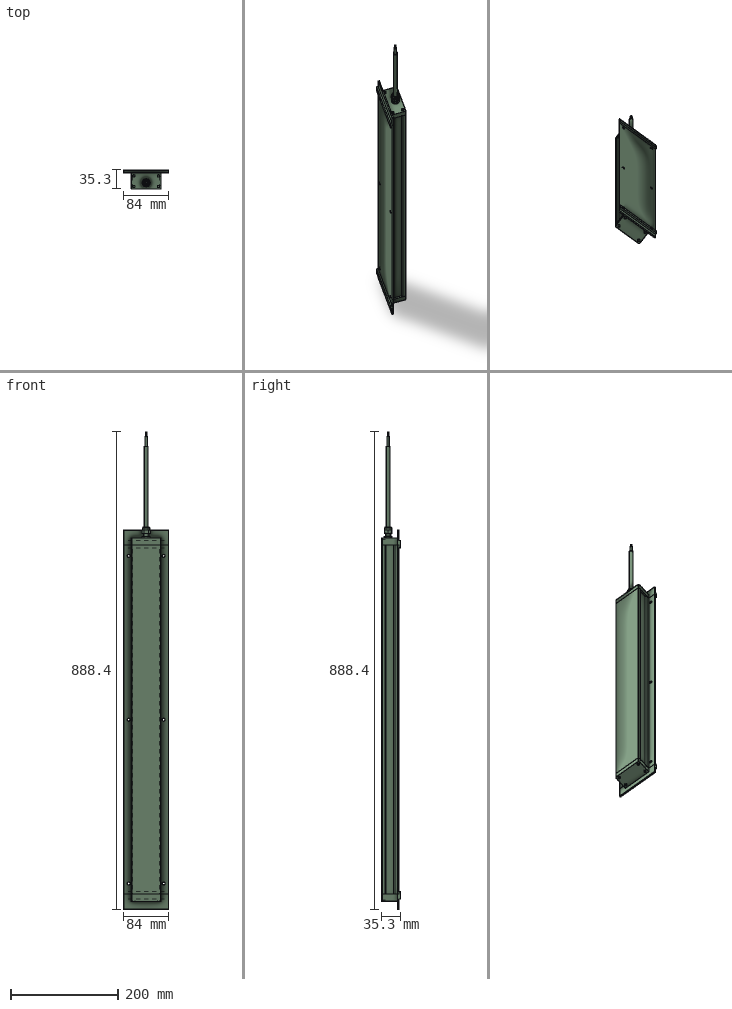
import cadquery as cq


plate_width = 84.01
total_depth = 35.27
total_height = 888.4
plate_height = 706.0

front_y = -12.0
back_y = front_y + total_depth
lip_thickness = 3.1
plate_thickness = 2.5
plate_back_y = back_y - lip_thickness
plate_front_y = plate_back_y - plate_thickness

joint_height = 28.0
housing_end_gap = 14.5
mid_z = plate_height / 2
housing_top_z = plate_height - housing_end_gap

housing_width = 56.0
housing_edge_chamfer = 1.3
groove_depth = 3.0
groove_mouth_front_y = -6.3
groove_mouth_back_y = 12.6
groove_flank = 2.3

hole_diameter = 5.0
hole_x = 32.5
hole_pitch = 305.0

lip_bottom = 19.0
lip_top = 33.0

screw_diameter = 4.5
screw_depth = 3.0
screw_inset = 5.0

flange_diameter = 15.0
flange_height = 2.5
neck_diameter = 10.0
nut_bottom_z = 700.0
nut_height = 6.0
nut_corner_diameter = 16.0
dome_diameter = 14.0
dome_top_z = 711.5
dome_chamfer = 1.5

sheath_diameter = 7.6
sheath_top_z = 861.5
core_diameter = 5.0
core_top_z = 880.0
wire_diameter = 3.0


def block(width, y_front, y_back, z_bottom, z_top):
    """Box centred on X = 0 between the given depths and heights."""
    return (
        cq.Workplane("XY", origin=(0, (y_front + y_back) / 2, z_bottom))
        .box(width, y_back - y_front, z_top - z_bottom, centered=(True, True, False))
    )


def cylinder(diameter, z_bottom, z_top):
    """Round bar on the cable axis."""
    return cq.Workplane("XY", origin=(0, 0, z_bottom)).circle(diameter / 2).extrude(z_top - z_bottom)


def housing_block(z_bottom, z_top):
    """Stretch of the housing box with its two long front edges chamfered."""
    box = block(housing_width, front_y, plate_front_y, z_bottom, z_top)
    return box.faces("<Y").edges("|Z").chamfer(housing_edge_chamfer)


def side_groove(side, z_bottom, z_top):
    """Cutter for the tapered groove along one side wall; side is -1 or 1."""
    mouth_x = side * housing_width / 2
    floor_x = mouth_x - side * groove_depth
    return (
        cq.Workplane("XY", origin=(0, 0, z_bottom))
        .moveTo(mouth_x, groove_mouth_front_y)
        .lineTo(mouth_x, groove_mouth_back_y)
        .lineTo(floor_x, groove_mouth_back_y - groove_flank)
        .lineTo(floor_x, groove_mouth_front_y + groove_flank)
        .close()
        .extrude(z_top - z_bottom)
    )


def make_profile():
    """Long grooved housing with side flanges, between the two end caps."""
    z_bottom = joint_height
    z_top = plate_height - joint_height
    body = housing_block(z_bottom, z_top)
    body = body.union(block(plate_width, plate_front_y, plate_back_y, z_bottom, z_top))
    for side in (-1, 1):
        body = body.cut(side_groove(side, z_bottom, z_top))
    hole_points = [
        (side * hole_x, mid_z + row * hole_pitch)
        for side in (-1, 1)
        for row in (-1, 0, 1)
    ]
    holes = (
        cq.Workplane("XZ", origin=(0, plate_back_y, 0))
        .pushPoints(hole_points)
        .circle(hole_diameter / 2)
        .extrude(plate_thickness)
    )
    return body.cut(holes)


def make_end_cap():
    """Lower end cap: housing end, plate end and the lip behind the joint."""
    cap = block(plate_width, plate_front_y, plate_back_y, 0, joint_height)
    cap = cap.union(housing_block(housing_end_gap, joint_height))
    cap = cap.union(block(plate_width, plate_back_y, back_y, lip_bottom, lip_top))
    screw_points = [
        (side * (housing_width / 2 - screw_inset), y)
        for side in (-1, 1)
        for y in (front_y + screw_inset, plate_front_y - screw_inset)
    ]
    recesses = (
        cq.Workplane("XY", origin=(0, 0, housing_end_gap))
        .pushPoints(screw_points)
        .circle(screw_diameter / 2)
        .extrude(screw_depth)
    )
    return cap.cut(recesses)


def make_gland():
    """Flange, neck, hexagonal nut and dome, bored for the cable."""
    flange = cylinder(flange_diameter, housing_top_z, housing_top_z + flange_height)
    neck = cylinder(neck_diameter, housing_top_z, nut_bottom_z)
    nut = (
        cq.Workplane("XY", origin=(0, 0, nut_bottom_z))
        .polygon(6, nut_corner_diameter)
        .extrude(nut_height)
    )
    dome = cylinder(dome_diameter, nut_bottom_z + nut_height, dome_top_z)
    dome = dome.faces(">Z").chamfer(dome_chamfer)
    bore = cylinder(sheath_diameter, housing_top_z, dome_top_z)
    return flange.union(neck).union(nut).union(dome).cut(bore)


def make_cable():
    """Sheathed cable with its core and bare wire stepping down at the free end."""
    sheath = cylinder(sheath_diameter, housing_top_z, sheath_top_z)
    core = cylinder(core_diameter, sheath_top_z, core_top_z)
    wire = cylinder(wire_diameter, core_top_z, total_height)
    return sheath.union(core).union(wire)


profile = make_profile()
lower_cap = make_end_cap()
upper_cap = lower_cap.mirror("XY", (0, 0, mid_z))
gland = make_gland()
cable = make_cable()

result = cq.Compound.makeCompound([
    profile.val(),
    lower_cap.val(),
    upper_cap.val(),
    gland.val(),
    cable.val(),
])